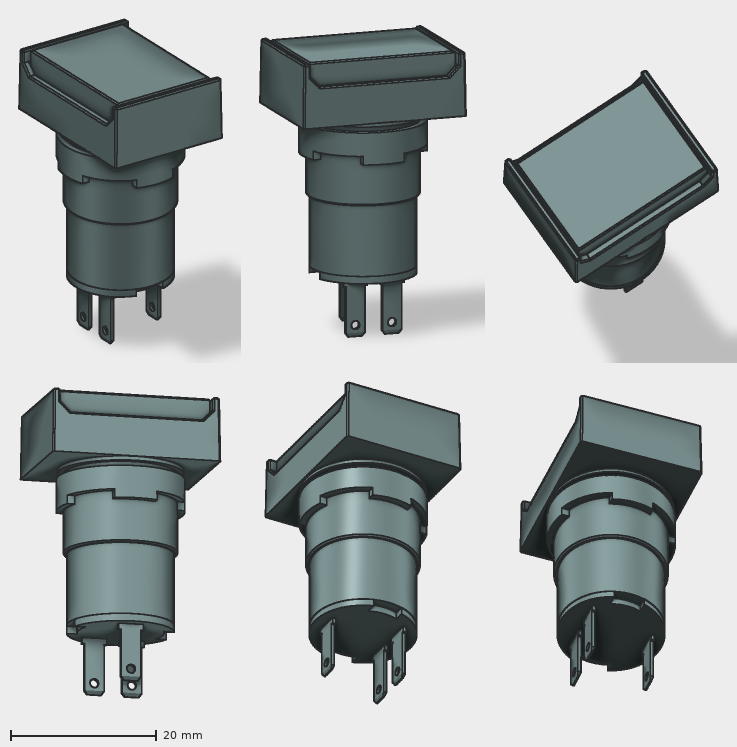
import cadquery as cq
import math

TOTAL_HEIGHT = 40.0
EDGE_BREAK = 0.22

BEZEL_LENGTH = 23.9
BEZEL_WIDTH = 17.9
BEZEL_BOTTOM = 31.0
BEZEL_DRAFT = 0.14
CAVITY_LENGTH = 21.75
CAVITY_WIDTH = 15.7
CAVITY_FLOOR = 33.0
WINDOW_SILL = 36.7
WINDOW_CORNER = 1.5

BUTTON_GAP = 0.18

FLANGE_RADIUS = 8.7
FLANGE_BOTTOM = 30.45
SLEEVE_RADIUS = 7.9
SLEEVE_BOTTOM = 19.1
SLEEVE_CHAMFER = 0.25
BARREL_RADIUS = 7.4
BARREL_BOTTOM = 9.05
BASE_RADIUS = 7.45
BASE_BOTTOM = 8.0
BASE_CORE_RADIUS = 6.0
BASE_NOTCH_WIDTH = 4.4

TERMINAL_PITCH = 2.7
FRONT_TERMINAL_Y = -4.15
REAR_TERMINAL_Y = 5.5
BLADE_WIDTH = 2.8
BLADE_THICKNESS = 0.5
SHOULDER_WIDTH = 3.5
SHOULDER_BOTTOM = 7.15
TIP_LENGTH = 0.55
TIP_WIDTH = 2.0
TIP_THICKNESS = 0.15
HOLE_DIAMETER = 1.2
HOLE_HEIGHT = 1.65

RING_RADIUS = 8.9
RING_TOP = 29.65
RING_BOTTOM = 25.1
TAB_HEIGHT = 1.2
TAB_WIDTH = 6.0


def block(length, width, bottom, top):
    """Box centred on the Z axis between two heights."""
    return cq.Workplane("XY").box(length, width, top - bottom, (True, True, False)).translate((0, 0, bottom))


def disc(radius, bottom, top):
    """Cylinder on the Z axis between two heights."""
    return cq.Workplane("XY", origin=(0, 0, bottom)).circle(radius).extrude(top - bottom)


def make_bezel():
    height = TOTAL_HEIGHT - BEZEL_BOTTOM
    draft_angle = math.degrees(math.atan(BEZEL_DRAFT / height))
    shell = (
        cq.Workplane("XY", origin=(0, 0, BEZEL_BOTTOM))
        .rect(BEZEL_LENGTH, BEZEL_WIDTH)
        .extrude(height, taper=draft_angle)
        .edges("not(#Z)")
        .chamfer(EDGE_BREAK)
    )
    cavity = block(CAVITY_LENGTH, CAVITY_WIDTH, CAVITY_FLOOR, TOTAL_HEIGHT)

    half_window = CAVITY_LENGTH / 2
    half_sill = half_window - WINDOW_CORNER
    window = (
        cq.Workplane("XZ")
        .polyline([
            (-half_window, TOTAL_HEIGHT),
            (-half_window, WINDOW_SILL + WINDOW_CORNER),
            (-half_sill, WINDOW_SILL),
            (half_sill, WINDOW_SILL),
            (half_window, WINDOW_SILL + WINDOW_CORNER),
            (half_window, TOTAL_HEIGHT),
        ])
        .close()
        .extrude(BEZEL_WIDTH / 2, both=True)
    )
    shell = shell.cut(cavity).cut(window)

    wall_middle = (BEZEL_WIDTH + CAVITY_WIDTH) / 4
    rim = cq.selectors.BoxSelector(
        (-BEZEL_LENGTH, -BEZEL_WIDTH, TOTAL_HEIGHT - EDGE_BREAK / 2),
        (BEZEL_LENGTH, BEZEL_WIDTH, TOTAL_HEIGHT + EDGE_BREAK / 2),
    )
    window_edges = [
        cq.selectors.BoxSelector(
            (-half_window - EDGE_BREAK / 2, side * wall_middle, WINDOW_SILL - EDGE_BREAK / 2),
            (half_window + EDGE_BREAK / 2, side * BEZEL_WIDTH, TOTAL_HEIGHT - EDGE_BREAK / 2),
        )
        for side in (-1, 1)
    ]
    return shell.edges(rim + window_edges[0] + window_edges[1]).chamfer(EDGE_BREAK)


def make_button():
    length = CAVITY_LENGTH - 2 * BUTTON_GAP
    width = CAVITY_WIDTH - 2 * BUTTON_GAP
    return block(length, width, CAVITY_FLOOR, TOTAL_HEIGHT).faces(">Z").edges().chamfer(EDGE_BREAK)


def make_terminal(x, y):
    """Blade with shoulders at the base, a tapered tip and a wiring hole."""
    blade = block(BLADE_WIDTH, BLADE_THICKNESS, TIP_LENGTH, BASE_BOTTOM)
    shoulder = block(SHOULDER_WIDTH, BLADE_THICKNESS, SHOULDER_BOTTOM, BASE_BOTTOM)
    tip = (
        cq.Workplane("XY")
        .rect(TIP_WIDTH, TIP_THICKNESS)
        .workplane(offset=TIP_LENGTH)
        .rect(BLADE_WIDTH, BLADE_THICKNESS)
        .loft(ruled=True)
    )
    hole = (
        cq.Workplane("XZ", origin=(0, 0, HOLE_HEIGHT))
        .circle(HOLE_DIAMETER / 2)
        .extrude(BLADE_THICKNESS, both=True)
    )
    return blade.union(shoulder).union(tip).cut(hole).translate((x, y, 0))


def make_base():
    """Base disc notched on both X sides down to a round core."""
    disc_body = disc(BASE_RADIUS, BASE_BOTTOM, BARREL_BOTTOM)
    notch = block(2 * BASE_RADIUS, BASE_NOTCH_WIDTH, BASE_BOTTOM, BARREL_BOTTOM)
    core = disc(BASE_CORE_RADIUS, BASE_BOTTOM, BARREL_BOTTOM)
    return disc_body.cut(notch).union(core)


def make_body():
    sleeve = disc(SLEEVE_RADIUS, SLEEVE_BOTTOM, FLANGE_BOTTOM).faces("<Z").edges().chamfer(SLEEVE_CHAMFER)
    body = (
        disc(FLANGE_RADIUS, FLANGE_BOTTOM, BEZEL_BOTTOM)
        .union(sleeve)
        .union(disc(BARREL_RADIUS, BARREL_BOTTOM, SLEEVE_BOTTOM))
        .union(make_base())
    )
    terminal_places = [
        (-TERMINAL_PITCH, FRONT_TERMINAL_Y),
        (TERMINAL_PITCH, FRONT_TERMINAL_Y),
        (0, REAR_TERMINAL_Y),
    ]
    for x, y in terminal_places:
        body = body.union(make_terminal(x, y))
    return body


def make_ring_nut():
    """Ring whose lower edge is cut back to leave four tabs, on the X and Y axes."""
    tab_top = RING_BOTTOM + TAB_HEIGHT
    tabs = block(2 * RING_RADIUS, TAB_WIDTH, RING_BOTTOM, tab_top).union(
        block(TAB_WIDTH, 2 * RING_RADIUS, RING_BOTTOM, tab_top)
    )
    outside = disc(RING_RADIUS, tab_top, RING_TOP).union(disc(RING_RADIUS, RING_BOTTOM, tab_top).intersect(tabs))
    return outside.cut(disc(SLEEVE_RADIUS, RING_BOTTOM, RING_TOP))


bezel = make_bezel()
button = make_button()
body = make_body()
ring_nut = make_ring_nut()

result = cq.Compound.makeCompound([bezel.val(), button.val(), body.val(), ring_nut.val()])